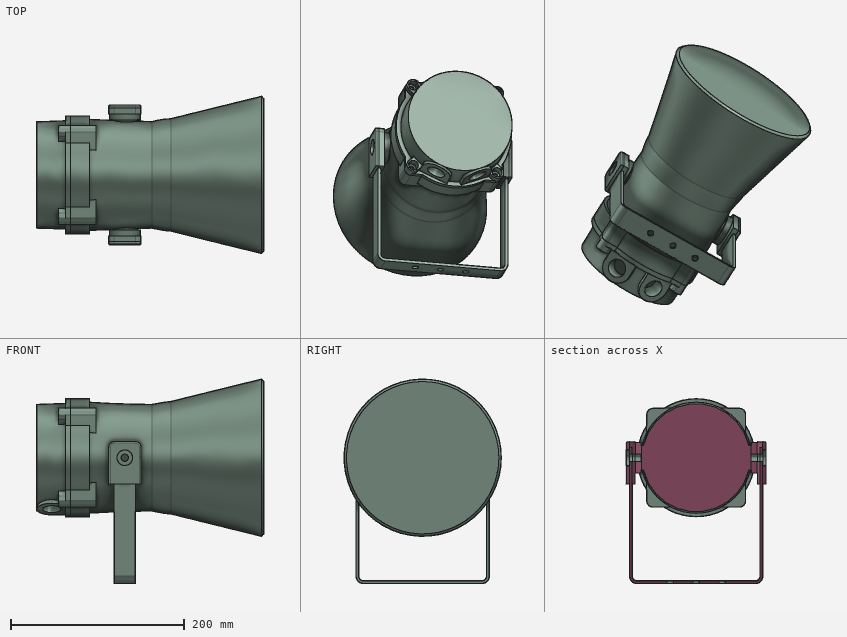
import cadquery as cq
import math


BOSS_REAR_X = 25.4
FLANGE_REAR_X = 33.2
PARTING_X = 38.7
FLANGE_END_X = 61.0
LUG_END_X = 68.5
NECK_X = 132.5
COLLAR_END_X = 154.5
RIM_X = 258.8
LENGTH = 261.5

DRAFT = math.tan(math.radians(2))
END_RADIUS = 122.9 / 2
NECK_RADIUS = 122.9 / 2
FLANGE_RADIUS = 68.0
COLLAR_MID_RADIUS = 63.8
COLLAR_END_RADIUS = 64.8
RIM_RADIUS = 181.1 / 2
RIM_CHAMFER = 3.0

SCREW_OFFSET = 49.5
LUG_RADIUS = 7.5
BOSS_ROOT_RADIUS = 52.3
LUG_HALF_WIDTH = SCREW_OFFSET + LUG_RADIUS
COUNTERBORE_DIAMETER = 11.2
COUNTERBORE_FLOOR_X = 36.5
SCREW_HOLE_DIAMETER = 6.0
BLIND_CORNER = (-1, 1)
CORNERS = [(1, 1), (-1, 1), (1, -1), (-1, -1)]

ENTRY_TILT = 22.5
ENTRY_X = 17.5
ENTRY_WIDTH = 35.0
ENTRY_FACE_RADIUS = 64.0
ENTRY_HOLE_DIAMETER = 21.0
ENTRY_HOLE_DEPTH = 21.0

PIVOT_X = 101.5
PIVOT_HOLE_DIAMETER = 8.4
BRACKET_OUTER_Y = 76.8
BRACKET_THICKNESS = 3.5
BRACKET_WIDTH = 24.5
BRACKET_BOTTOM_Z = RIM_RADIUS - 235.5
BRACKET_TOP_Z = BRACKET_WIDTH / 2
BEND_RADIUS = 9.0
MOUNT_HOLE_DIAMETER = 7.0
MOUNT_HOLE_SPACING = 29.8

TRUNNION_DIAMETER = 29.0
BUSH_INNER_Y = 63.3
BUSH_DIAMETER = 35.5
CLAMP_INNER_Y = 70.3
CAP_OUTER_Y = 80.5
CLAMP_HALF_WIDTH = 18.5
CLAMP_BOTTOM_Z = -30.3
CLAMP_CORNER_RADIUS = 6.3
CAP_EDGE_RADIUS = 1.8
CAP_HOLE_DIAMETER = 18.0
SIDES = (-1, 1)


def x_cylinder(radius, start, end, y=0, z=0):
    """Cylinder along X between two stations."""
    return cq.Workplane("YZ", origin=(start, y, z)).circle(radius).extrude(end - start)


def y_cylinder(diameter, inner, outer, side):
    """Cylinder along Y on the pivot axis, on the given side of the horn."""
    axis_start = cq.Vector(PIVOT_X, side * inner, 0)
    return cq.Workplane(cq.Solid.makeCylinder(diameter / 2, outer - inner, axis_start, cq.Vector(0, side, 0)))


def pivot_hole(side):
    """Bolt hole through the bush, the clamp and the bracket leg on one side."""
    return y_cylinder(PIVOT_HOLE_DIAMETER, BUSH_INNER_Y, BRACKET_OUTER_Y, side)


def turned(points):
    """Solid turned about X from straight (x, radius) points."""
    outline = [(points[0][0], 0), *points, (points[-1][0], 0)]
    return cq.Workplane("XY").polyline(outline).close().revolve(360, (0, 0, 0), (1, 0, 0))


def lug_square(start, end):
    """Square block with rounded corners; its corners make the four screw lugs."""
    width = 2 * LUG_HALF_WIDTH
    block = cq.Workplane("YZ", origin=(start, 0, 0)).rect(width, width).extrude(end - start)
    return block.edges("|X").fillet(LUG_RADIUS)


def screw_boss(y_sign, z_sign):
    """Screw boss on the cover: round outer end with straight flanks running in to the cover wall."""
    screw_radius = math.hypot(SCREW_OFFSET, SCREW_OFFSET)
    angle = math.degrees(math.atan2(z_sign, y_sign))
    return (
        cq.Workplane("YZ", origin=(BOSS_REAR_X, 0, 0))
        .moveTo(BOSS_ROOT_RADIUS, -LUG_RADIUS)
        .lineTo(screw_radius, -LUG_RADIUS)
        .threePointArc((screw_radius + LUG_RADIUS, 0), (screw_radius, LUG_RADIUS))
        .lineTo(BOSS_ROOT_RADIUS, LUG_RADIUS)
        .close()
        .extrude(FLANGE_REAR_X - BOSS_REAR_X)
        .rotate((0, 0, 0), (1, 0, 0), angle)
    )


def entry_plane(side):
    """Plane on the face of a cable entry: local X runs along the horn, the normal points outward."""
    tilt = math.radians(ENTRY_TILT)
    normal = cq.Vector(0, side * math.sin(tilt), -math.cos(tilt))
    origin = cq.Vector(ENTRY_X, 0, 0) + normal * ENTRY_FACE_RADIUS
    return cq.Plane(origin=origin, xDir=(1, 0, 0), normal=normal)


def entry_pad(side):
    """D-shaped cable entry pad, round at the rear and running straight into the flange."""
    radius = ENTRY_WIDTH / 2
    run = FLANGE_REAR_X - ENTRY_X
    return (
        cq.Workplane(entry_plane(side))
        .moveTo(run, -radius)
        .lineTo(0, -radius)
        .threePointArc((-radius, 0), (0, radius))
        .lineTo(run, radius)
        .close()
        .extrude(-ENTRY_HOLE_DEPTH)
    )


def make_cover():
    flange_root = END_RADIUS + FLANGE_REAR_X * DRAFT
    cover = turned([(0, END_RADIUS), (FLANGE_REAR_X, flange_root)])
    cover = cover.union(x_cylinder(FLANGE_RADIUS, FLANGE_REAR_X, PARTING_X))
    cover = cover.union(lug_square(FLANGE_REAR_X, PARTING_X))
    for side in SIDES:
        cover = cover.union(entry_pad(side))
    for corner in CORNERS:
        cover = cover.union(screw_boss(*corner))
    for side in SIDES:
        hole = cq.Workplane(entry_plane(side)).circle(ENTRY_HOLE_DIAMETER / 2).extrude(-ENTRY_HOLE_DEPTH)
        cover = cover.cut(hole)
    for y_sign, z_sign in CORNERS:
        y = y_sign * SCREW_OFFSET
        z = z_sign * SCREW_OFFSET
        cover = cover.cut(x_cylinder(COUNTERBORE_DIAMETER / 2, BOSS_REAR_X, COUNTERBORE_FLOOR_X, y, z))
        if (y_sign, z_sign) != BLIND_CORNER:
            cover = cover.cut(x_cylinder(SCREW_HOLE_DIAMETER / 2, COUNTERBORE_FLOOR_X, PARTING_X, y, z))
    return cover


def horn_body():
    """Drafted barrel, curved collar and flared horn with a chamfered rim."""
    barrel_radius = NECK_RADIUS + (NECK_X - PARTING_X) * DRAFT
    return (
        cq.Workplane("XY")
        .moveTo(PARTING_X, 0)
        .lineTo(PARTING_X, barrel_radius)
        .lineTo(NECK_X, NECK_RADIUS)
        .threePointArc(((NECK_X + COLLAR_END_X) / 2, COLLAR_MID_RADIUS), (COLLAR_END_X, COLLAR_END_RADIUS))
        .lineTo(RIM_X, RIM_RADIUS)
        .lineTo(LENGTH, RIM_RADIUS - RIM_CHAMFER)
        .lineTo(LENGTH, 0)
        .close()
        .revolve(360, (0, 0, 0), (1, 0, 0))
    )


def make_housing():
    housing = horn_body()
    housing = housing.union(x_cylinder(FLANGE_RADIUS, PARTING_X, FLANGE_END_X))
    housing = housing.union(lug_square(PARTING_X, LUG_END_X))
    for side in SIDES:
        housing = housing.union(y_cylinder(TRUNNION_DIAMETER, 0, BUSH_INNER_Y, side))
    return housing


def make_bracket():
    """U-shaped strap with rounded bends, three mounting holes and a pivot hole in each leg."""
    outer_width = 2 * BRACKET_OUTER_Y
    leg_height = BRACKET_TOP_Z - BRACKET_BOTTOM_Z
    inner_height = leg_height - BRACKET_THICKNESS
    outer_center = (PIVOT_X, 0, BRACKET_BOTTOM_Z + leg_height / 2)
    inner_center = (PIVOT_X, 0, BRACKET_TOP_Z - inner_height / 2)
    outer = cq.Workplane(origin=outer_center).box(BRACKET_WIDTH, outer_width, leg_height)
    outer = outer.edges("|X and <Z").fillet(BEND_RADIUS)
    inner = cq.Workplane(origin=inner_center).box(
        BRACKET_WIDTH, outer_width - 2 * BRACKET_THICKNESS, inner_height
    )
    inner = inner.edges("|X and <Z").fillet(BEND_RADIUS - BRACKET_THICKNESS)
    mount_holes = (
        cq.Workplane(origin=(PIVOT_X, 0, BRACKET_BOTTOM_Z))
        .rarray(2.5, MOUNT_HOLE_SPACING, 1, 3)
        .circle(MOUNT_HOLE_DIAMETER / 2)
        .extrude(BRACKET_THICKNESS)
    )
    bracket = outer.cut(inner).cut(mount_holes)
    for side in SIDES:
        bracket = bracket.cut(pivot_hole(side))
    return bracket


def clamp_block(side, inner, outer):
    """Rectangular plate with rounded top corners between two distances from the horn axis."""
    thickness = outer - inner
    height = CLAMP_HALF_WIDTH - CLAMP_BOTTOM_Z
    center = (PIVOT_X, side * (inner + thickness / 2), CLAMP_BOTTOM_Z + height / 2)
    block = cq.Workplane(origin=center).box(2 * CLAMP_HALF_WIDTH, thickness, height)
    return block.edges("|Y and >Z").fillet(CLAMP_CORNER_RADIUS)


def make_bush(side):
    return y_cylinder(BUSH_DIAMETER, BUSH_INNER_Y, CLAMP_INNER_Y, side).cut(pivot_hole(side))


def make_clamp(side):
    slot_height = BRACKET_TOP_Z - CLAMP_BOTTOM_Z
    slot_center = (
        PIVOT_X,
        side * (BRACKET_OUTER_Y - BRACKET_THICKNESS / 2),
        CLAMP_BOTTOM_Z + slot_height / 2,
    )
    slot = cq.Workplane(origin=slot_center).box(BRACKET_WIDTH, BRACKET_THICKNESS, slot_height)
    return clamp_block(side, CLAMP_INNER_Y, BRACKET_OUTER_Y).cut(slot).cut(pivot_hole(side))


def make_cap(side):
    cap = clamp_block(side, BRACKET_OUTER_Y, CAP_OUTER_Y)
    outer_face = ">Y" if side > 0 else "<Y"
    cap = cap.faces(outer_face).edges("not <Z").fillet(CAP_EDGE_RADIUS)
    return cap.cut(y_cylinder(CAP_HOLE_DIAMETER, BRACKET_OUTER_Y, CAP_OUTER_Y, side))


cover = make_cover()
housing = make_housing()
bushes = [make_bush(side) for side in SIDES]
clamps = [make_clamp(side) for side in SIDES]
caps = [make_cap(side) for side in SIDES]
bracket = make_bracket()

result = cq.Compound.makeCompound(
    [
        cover.val(),
        housing.val(),
        bracket.val(),
        *[bush.val() for bush in bushes],
        *[clamp.val() for clamp in clamps],
        *[cap.val() for cap in caps],
    ]
)